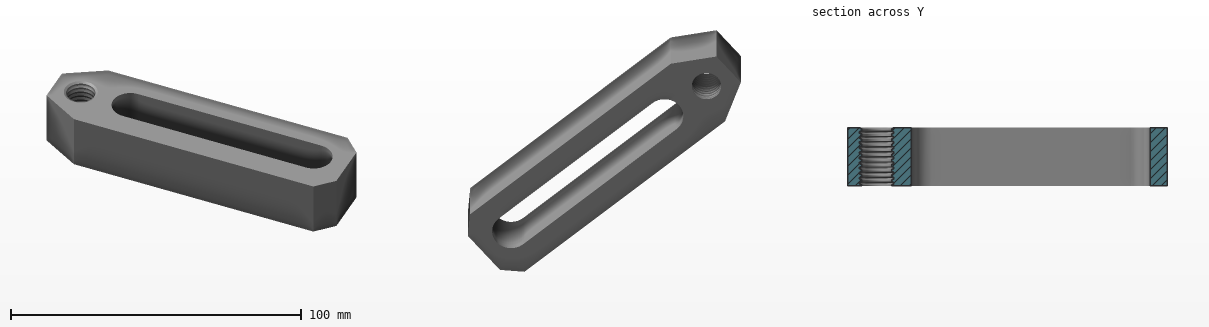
import cadquery as cq
import math

LENGTH = 110.0
WIDTH = 29.0
HEIGHT = 20.0
NOSE_WIDTH = 13.0
NOSE_TAPER_ANGLE = 30.0
TAIL_CHAMFER = 6.0

SLOT_WIDTH = 13.0
SLOT_START_X = 22.0
SLOT_END_X = 104.0
SLOT_OFFSET_Y = 0.43

THREAD_X = 10.0
THREAD_MAJOR_DIAMETER = 11.7
THREAD_MINOR_DIAMETER = 10.106
THREAD_PITCH = 1.75
THREAD_FLANK_ANGLE = 30.0
THREAD_CREST_FLAT = THREAD_PITCH / 3


def bar():
    """Rectangular bar with a tapered nose and a chamfered tail."""
    nose_half = NOSE_WIDTH / 2
    side = WIDTH / 2
    taper_length = (side - nose_half) / math.tan(math.radians(NOSE_TAPER_ANGLE))
    upper_outline = [
        (0, nose_half),
        (taper_length, side),
        (LENGTH - TAIL_CHAMFER, side),
        (LENGTH, side - TAIL_CHAMFER),
    ]
    lower_outline = [(x, -y) for x, y in reversed(upper_outline)]
    return cq.Workplane("XY").polyline(upper_outline + lower_outline).close().extrude(HEIGHT)


def slot_cutter():
    """Round-ended slot through the full height."""
    return (
        cq.Workplane("XY")
        .center((SLOT_START_X + SLOT_END_X) / 2, SLOT_OFFSET_Y)
        .slot2D(SLOT_END_X - SLOT_START_X, SLOT_WIDTH)
        .extrude(HEIGHT)
    )


def thread_cutter():
    """Hole cutter revolved around the thread axis, with one 60-degree ring groove per pitch."""
    minor_radius = THREAD_MINOR_DIAMETER / 2
    major_radius = THREAD_MAJOR_DIAMETER / 2
    flank_height = (major_radius - minor_radius) * math.tan(math.radians(THREAD_FLANK_ANGLE))
    groove_count = math.ceil(HEIGHT / THREAD_PITCH)

    profile = [(0, HEIGHT)]
    for groove in range(groove_count):
        root_z = HEIGHT - groove * THREAD_PITCH
        crest_z = root_z - flank_height
        next_flank_z = crest_z - THREAD_CREST_FLAT
        profile += [
            (major_radius, root_z),
            (minor_radius, crest_z),
            (minor_radius, next_flank_z),
            (major_radius, next_flank_z - flank_height),
        ]
    end_z = HEIGHT - groove_count * THREAD_PITCH
    profile += [(major_radius, end_z), (0, end_z)]
    return (
        cq.Workplane("XZ")
        .polyline(profile)
        .close()
        .revolve(360, (0, 0, 0), (0, 1, 0))
        .translate((THREAD_X, 0, 0))
    )


result = bar().cut(slot_cutter()).cut(thread_cutter())